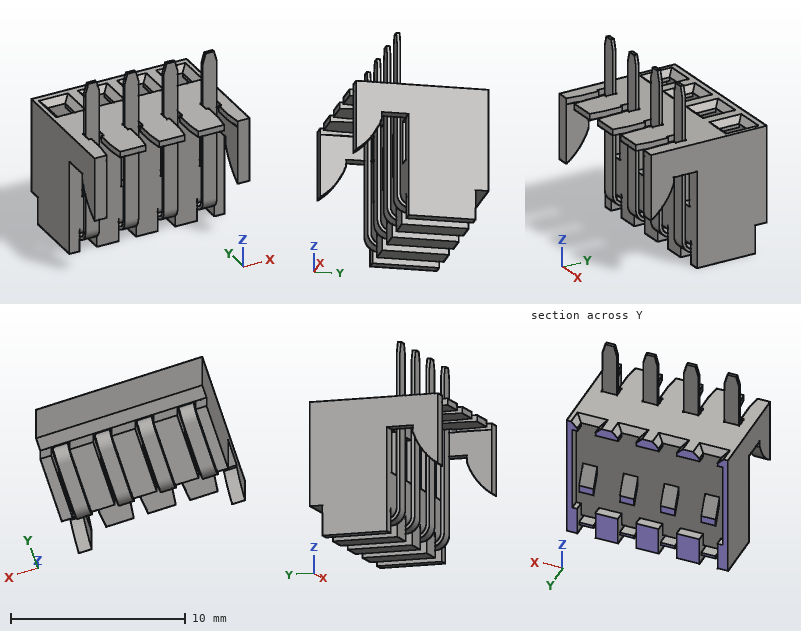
import cadquery as cq
import math


width = 10.06
total_depth = 7.8
block_depth = 4.7
housing_height = 7.87
step_depth = 0.77
step_height = 1.77

plate_thickness = 0.38
arm_underside = 6.1
hook_back = 6.29
hook_straight_end = 5.66
hook_arc_middle = (-6.85, 4.64)
hook_tip_height = 3.74

pin_count = 4
pitch = 2.54
pin_places = [(i - (pin_count - 1) / 2) * pitch for i in range(pin_count)]

strip_width = 0.9
strip_thickness = 0.2
pin_front = 5.22
pin_top = 11.23
tip_width = 0.54
tip_length = 0.64
bend_outer_radius = 0.85
bend_inner_radius = bend_outer_radius - strip_thickness
strip_underside = 0.65
bend_height = strip_underside + bend_outer_radius
spring_angle = math.radians(65)
spring_grip = 0.11

opening_width = 1.12
socket_back = step_depth
socket_front = 2.16
mouth_bevel = 0.38
bevel_angle = 45

neck_length = 0.22
chamber_side_wall = 0.36

notch_height = 0.97
notch_edge_radius = 0.5

pin_hole_width = 0.98
pin_hole_back = 4.97
pin_hole_front = 5.68
throat_width = 0.65
throat_front = 6.85
slot_mouth_width = 0.88

arm_thickness = (width - (pin_count - 1) * pitch - slot_mouth_width) / 2

window_width = 0.79
window_floor = 3.57
window_floor_depth = 0.65
window_ramp_angle = math.radians(65)


def slab_x(profile, x_size):
    """Extrude a closed YZ outline evenly to both sides of X = 0."""
    return profile.extrude(x_size / 2, both=True)


def box_between(x_size, y_front, y_back, z_low, z_high):
    """Box centred on X = 0, running between the given Y and Z limits."""
    outline = cq.Workplane("YZ").moveTo(y_front, z_low)
    outline = outline.lineTo(y_back, z_low).lineTo(y_back, z_high).lineTo(y_front, z_high).close()
    return slab_x(outline, x_size)


def make_housing():
    block = box_between(width, -block_depth, 0, 0, housing_height)
    block = block.cut(box_between(width, -step_depth, 0, 0, step_height))
    plate = box_between(width, -total_depth, -block_depth, housing_height - plate_thickness, housing_height)
    arm_outline = (
        cq.Workplane("YZ")
        .moveTo(-block_depth, housing_height)
        .lineTo(-block_depth, arm_underside)
        .lineTo(-hook_back, arm_underside)
        .lineTo(-hook_back, hook_straight_end)
        .threePointArc(hook_arc_middle, (-total_depth, hook_tip_height))
        .lineTo(-total_depth, housing_height)
        .close()
    )
    arm = slab_x(arm_outline, arm_thickness)
    housing = block.union(plate)
    arm_middle = (width - arm_thickness) / 2
    for x in (-arm_middle, arm_middle):
        housing = housing.union(arm.translate((x, 0, 0)))
    return housing


def make_socket():
    shaft = box_between(opening_width, -socket_front, -socket_back, 0, housing_height)
    mouth_length = socket_front - socket_back + 2 * mouth_bevel
    mouth = (
        cq.Workplane("XY", origin=(0, -(socket_front + socket_back) / 2, housing_height))
        .rect(opening_width + 2 * mouth_bevel, mouth_length)
        .extrude(-mouth_bevel, taper=bevel_angle)
    )
    return shaft.union(mouth)


def make_chamber():
    chamber_top = housing_height - mouth_bevel - neck_length
    chamber_width = width - 2 * chamber_side_wall
    return box_between(chamber_width, -socket_front, -socket_back, step_height, chamber_top)


def make_notch():
    edge_start = notch_height + notch_edge_radius
    edge_drop = notch_edge_radius * (1 - math.sqrt(0.5))
    outline = (
        cq.Workplane("YZ")
        .moveTo(-step_depth, 0)
        .lineTo(-step_depth, notch_height)
        .lineTo(-block_depth + notch_edge_radius, notch_height)
        .threePointArc((-block_depth + edge_drop, notch_height + edge_drop), (-block_depth, edge_start))
        .lineTo(-block_depth, 0)
        .close()
    )
    return slab_x(outline, opening_width)


def make_pin_slot():
    half_outline = [
        (pin_hole_width / 2, -pin_hole_back),
        (pin_hole_width / 2, -pin_hole_front),
        (throat_width / 2, -pin_hole_front),
        (throat_width / 2, -throat_front),
        (slot_mouth_width / 2, -total_depth),
    ]
    mirrored = [(-x, y) for x, y in reversed(half_outline)]
    plane = cq.Workplane("XY", origin=(0, 0, housing_height))
    return plane.polyline(half_outline + mirrored).close().extrude(-plate_thickness)


def make_window():
    floor_end = -block_depth + window_floor_depth
    ramp_run = (arm_underside - window_floor) / math.tan(window_ramp_angle)
    outline = (
        cq.Workplane("YZ")
        .moveTo(-block_depth, window_floor)
        .lineTo(floor_end, window_floor)
        .lineTo(floor_end + ramp_run, arm_underside)
        .lineTo(-block_depth, arm_underside)
        .close()
    )
    return slab_x(outline, window_width)


def make_contact():
    """Pin, front bend, flat run, rear hairpin and the spring leaning on the socket's front wall."""
    front_bend_y = -pin_front + bend_outer_radius
    rear_bend_y = -socket_back - bend_outer_radius
    hairpin_end = math.pi / 2 - spring_angle
    hairpin_middle = (hairpin_end - math.pi / 2) / 2

    def on_bend(bend_y, radius, angle):
        return (bend_y + radius * math.cos(angle), bend_height + radius * math.sin(angle))

    spring_start_y = on_bend(rear_bend_y, bend_outer_radius, hairpin_end)[0]
    spring_length = (spring_start_y + socket_front + spring_grip) / math.cos(spring_angle)

    def spring_tip(radius):
        y, z = on_bend(rear_bend_y, radius, hairpin_end)
        return (y - spring_length * math.cos(spring_angle), z + spring_length * math.sin(spring_angle))

    front_middle = -math.pi * 3 / 4
    outline = (
        cq.Workplane("YZ")
        .moveTo(-pin_front, pin_top)
        .lineTo(-pin_front, bend_height)
        .threePointArc(
            on_bend(front_bend_y, bend_outer_radius, front_middle),
            (front_bend_y, strip_underside),
        )
        .lineTo(rear_bend_y, strip_underside)
        .threePointArc(
            on_bend(rear_bend_y, bend_outer_radius, hairpin_middle),
            on_bend(rear_bend_y, bend_outer_radius, hairpin_end),
        )
        .lineTo(*spring_tip(bend_outer_radius))
        .lineTo(*spring_tip(bend_inner_radius))
        .lineTo(*on_bend(rear_bend_y, bend_inner_radius, hairpin_end))
        .threePointArc(
            on_bend(rear_bend_y, bend_inner_radius, hairpin_middle),
            (rear_bend_y, strip_underside + strip_thickness),
        )
        .lineTo(front_bend_y, strip_underside + strip_thickness)
        .threePointArc(
            on_bend(front_bend_y, bend_inner_radius, front_middle),
            (front_bend_y - bend_inner_radius, bend_height),
        )
        .lineTo(-pin_front + strip_thickness, pin_top)
        .close()
    )
    tapered_front = (
        cq.Workplane("XZ")
        .moveTo(-strip_width / 2, 0)
        .lineTo(-strip_width / 2, pin_top - tip_length)
        .lineTo(-tip_width / 2, pin_top)
        .lineTo(tip_width / 2, pin_top)
        .lineTo(strip_width / 2, pin_top - tip_length)
        .lineTo(strip_width / 2, 0)
        .close()
        .extrude(total_depth)
    )
    return slab_x(outline, strip_width).intersect(tapered_front)


openings = [make_socket(), make_notch(), make_pin_slot(), make_window()]
contact = make_contact()

result = make_housing().cut(make_chamber())
for pin_x in pin_places:
    for opening in openings:
        result = result.cut(opening.translate((pin_x, 0, 0)))
for pin_x in pin_places:
    result = result.union(contact.translate((pin_x, 0, 0)))